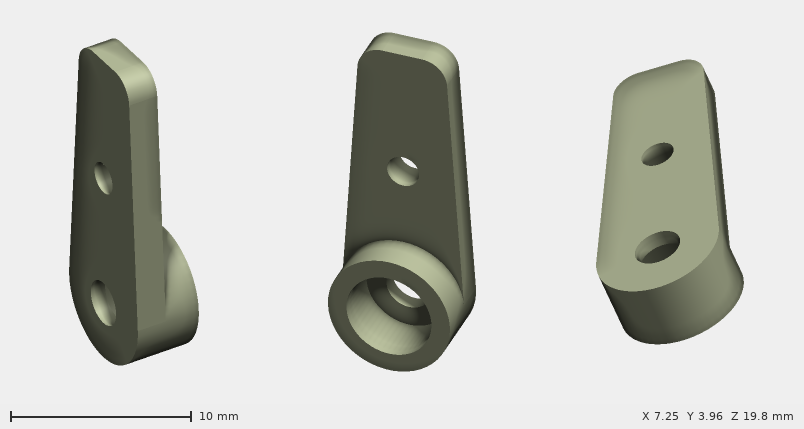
import cadquery as cq
import math

length = 19.81
depth = 3.96
arm_thickness = 1.82
hub_diameter = 7.25
hub_radius = hub_diameter / 2

tip_radius = 1.49
tip_left_x = -1.13
tip_right_x = 1.23
tip_z = length - hub_radius
corner_z = tip_z - tip_radius

hub_bore_diameter = 2.67
hub_recess_diameter = 5.05
hub_recess_floor = 0.93
arm_hole_diameter = 1.9
arm_hole_z = 8.35


def cylinder_along_y(diameter, z, y_start, y_end):
    """Cylinder parallel to Y, centered on X = 0."""
    direction = cq.Vector(0, 1, 0)
    start = cq.Vector(0, y_start, z)
    return cq.Workplane(cq.Solid.makeCylinder(diameter / 2, y_end - y_start, start, direction))


def polar_point(center_x, center_z, radius, angle):
    return (center_x + radius * math.cos(angle), center_z + radius * math.sin(angle))


def side_normal_tilt(corner_offset):
    """Angle above horizontal of the normal to the side tangent to hub and corner."""
    center_distance = math.hypot(corner_offset, corner_z)
    lean = math.atan2(corner_offset, corner_z)
    return math.asin((hub_radius - tip_radius) / center_distance) - lean


def make_arm():
    """Tapered plate starting at the hub axis, with straight sides tangent to the hub and the tip corners."""
    right_angle = side_normal_tilt(tip_right_x)
    left_angle = math.pi - side_normal_tilt(-tip_left_x)
    top_angle = math.pi / 2
    right_mid_angle = (right_angle + top_angle) / 2
    left_mid_angle = (left_angle + top_angle) / 2
    outline = (
        cq.Workplane("XZ")
        .moveTo(*polar_point(0, 0, hub_radius, right_angle))
        .lineTo(*polar_point(tip_right_x, corner_z, tip_radius, right_angle))
        .threePointArc(
            polar_point(tip_right_x, corner_z, tip_radius, right_mid_angle),
            (tip_right_x, tip_z),
        )
        .lineTo(tip_left_x, tip_z)
        .threePointArc(
            polar_point(tip_left_x, corner_z, tip_radius, left_mid_angle),
            polar_point(tip_left_x, corner_z, tip_radius, left_angle),
        )
        .lineTo(*polar_point(0, 0, hub_radius, left_angle))
        .lineTo(0, 0)
        .close()
    )
    return outline.extrude(-arm_thickness)


hub = cylinder_along_y(hub_diameter, 0, 0, depth)
hub_bore = cylinder_along_y(hub_bore_diameter, 0, 0, depth)
hub_recess = cylinder_along_y(hub_recess_diameter, 0, hub_recess_floor, depth)
arm_hole = cylinder_along_y(arm_hole_diameter, arm_hole_z, 0, arm_thickness)

result = make_arm().union(hub).clean().cut(hub_bore).cut(hub_recess).cut(arm_hole)